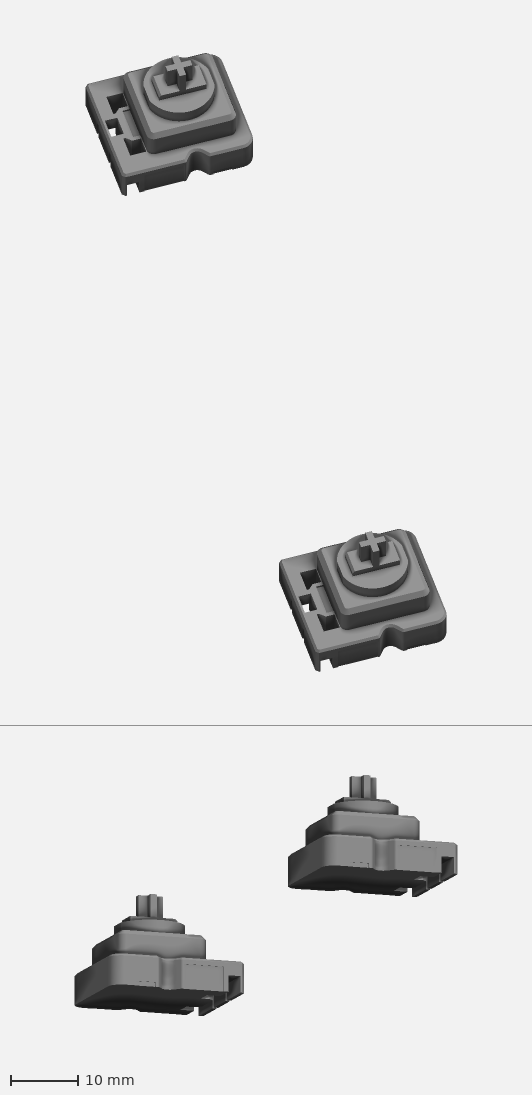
import cadquery as cq

overall_length = 113.8

skirt_width = 18.7
skirt_front = -11.7
skirt_back = 9.1
skirt_height = 4.8
skirt_back_radius = 2.0
skirt_front_chamfer = 0.5
skirt_top_chamfer = 0.3

tower_width = 13.4
tower_depth = 13.9
tower_center_y = 0.1
tower_top = 9.0
tower_corner_radius = 1.1
tower_top_chamfer = 0.7
tower_front = tower_center_y - tower_depth / 2
tower_back = tower_front + tower_depth

notch_mouth_half = 1.8
notch_apex_depth = 2.3
notch_mouth_radius = 0.5
notch_bottom_radius = 1.3

relief_depth = 0.1
front_relief_start = -8.3
front_relief_end = -2.0
front_relief_height = 3.8
back_relief_start = 2.4
back_relief_end = 5.4
back_relief_height = 0.7

gap_front = -11.0
gap_back = -9.1
gap_height = 2.5
opening_width = 3.2

window_span = 11.7
window_front = -9.5
window_back = -7.0
tongue_width = 6.5
tongue_chamfer = 0.8
bridge_width = tongue_width - 2 * tongue_chamfer

slot_spacing = 5.8
slot_width = 0.7
slot_height = 2.7

recess_width = 5.2
recess_reach = 8.0
recess_depth = 0.3

collar_diameter = 10.6
collar_flats = 10.1
collar_bottom = skirt_height
collar_top = 11.0
block_width = 3.9
block_depth = 7.4
block_top = 12.1
block_chamfer = 0.3
cross_size = block_width
cross_blade = 1.0
cross_top = 15.6

switch_spacing = overall_length - skirt_width


def box(x_min, x_max, y_min, y_max, z_min, z_max):
    """Box between the given limits."""
    return (
        cq.Workplane("XY")
        .box(x_max - x_min, y_max - y_min, z_max - z_min, centered=False)
        .translate((x_min, y_min, z_min))
    )


def centered_box(width, y_min, y_max, z_min, z_max):
    """Box that is symmetric about the YZ plane."""
    return box(-width / 2, width / 2, y_min, y_max, z_min, z_max)


def mirrored_pair(shape):
    """The shape together with its mirror image across the YZ plane."""
    return shape.union(shape.mirror("YZ"))


def make_notch_cutter():
    """V-shaped notches with rounded bottoms, one in each long side."""
    wall = skirt_width / 2
    notch = (
        cq.Workplane("XY")
        .polyline([
            (wall, notch_mouth_half),
            (wall - notch_apex_depth, 0),
            (wall, -notch_mouth_half),
        ])
        .close()
        .extrude(skirt_height)
        .edges("|Z and <X").fillet(notch_bottom_radius)
    )
    return mirrored_pair(notch)


def make_relief_cutter():
    """Shallow reliefs in the long sides: a tall one at the front and a low one at the back."""
    wall = skirt_width / 2
    floor = wall - relief_depth
    front = box(floor, wall, front_relief_start, front_relief_end, 0, front_relief_height)
    back = box(floor, wall, back_relief_start, back_relief_end, 0, back_relief_height)
    return mirrored_pair(front).union(mirrored_pair(back))


def make_skirt():
    """Skirt with rounded back corners, bevelled front corners and notched, relieved sides."""
    skirt = (
        centered_box(skirt_width, skirt_front, skirt_back, 0, skirt_height)
        .edges("|Z and >Y").fillet(skirt_back_radius)
        .edges("|Z and <Y").chamfer(skirt_front_chamfer)
        .cut(make_notch_cutter())
    )
    for x_side in (-1, 1):
        for y_side in (-1, 1):
            mouth = (x_side * skirt_width / 2, y_side * notch_mouth_half, skirt_height / 2)
            skirt = skirt.edges(cq.selectors.NearestToPointSelector(mouth)).fillet(notch_mouth_radius)
    return skirt.faces(">Z").chamfer(skirt_top_chamfer).cut(make_relief_cutter())


def make_tower():
    """Square tower with rounded corners and a bevelled top edge."""
    return (
        cq.Workplane("XY", origin=(0, tower_center_y, 0))
        .rect(tower_width, tower_depth)
        .extrude(tower_top)
        .edges("|Z").fillet(tower_corner_radius)
        .faces(">Z").chamfer(tower_top_chamfer)
    )


def make_window_cutter():
    """Two windows: one wide opening less the tongue and the bridge to the front bar."""
    opening = centered_box(window_span, window_front, window_back, 0, skirt_height)
    tongue = (
        centered_box(tongue_width, gap_back, window_back, 0, skirt_height)
        .edges("|Z and <Y").chamfer(tongue_chamfer)
    )
    bridge = centered_box(bridge_width, window_front, gap_back, 0, skirt_height)
    return opening.cut(tongue).cut(bridge)


def make_collar():
    """Round collar of the slider, flattened at the front and the back."""
    flats = centered_box(
        collar_diameter, -collar_flats / 2, collar_flats / 2, collar_bottom, collar_top
    )
    return (
        cq.Workplane("XY", origin=(0, 0, collar_bottom))
        .circle(collar_diameter / 2)
        .extrude(collar_top - collar_bottom)
        .intersect(flats)
    )


def make_housing():
    """Skirt and tower, with a bore that fits the slider's collar."""
    housing = make_skirt().union(make_tower()).cut(make_collar()).cut(make_window_cutter())
    housing = housing.cut(centered_box(skirt_width, gap_front, gap_back, 0, gap_height))
    housing = housing.cut(centered_box(opening_width, gap_front, gap_back, 0, skirt_height))
    slot = centered_box(slot_width, skirt_front, gap_front, 0, slot_height)
    housing = housing.cut(mirrored_pair(slot.translate((slot_spacing / 2, 0, 0))))
    recess_floor = skirt_height - recess_depth
    for y_min, y_max in ((tower_back, recess_reach), (-recess_reach, tower_front)):
        housing = housing.cut(centered_box(recess_width, y_min, y_max, recess_floor, skirt_height))
    return housing


def make_slider():
    """Collar, key block and cross-shaped stem in one body."""
    block = (
        centered_box(block_width, -block_depth / 2, block_depth / 2, collar_top, block_top)
        .edges("<Y and >Z").chamfer(block_chamfer)
    )
    stem = centered_box(cross_size, -cross_blade / 2, cross_blade / 2, block_top, cross_top).union(
        centered_box(cross_blade, -cross_size / 2, cross_size / 2, block_top, cross_top)
    )
    return make_collar().union(block).union(stem)


housing = make_housing()
slider = make_slider()
bodies = []
for side in (-1, 1):
    place = (side * switch_spacing / 2, 0, 0)
    bodies.append(housing.translate(place).solids().val())
    bodies.append(slider.translate(place).solids().val())
result = cq.Compound.makeCompound(bodies)